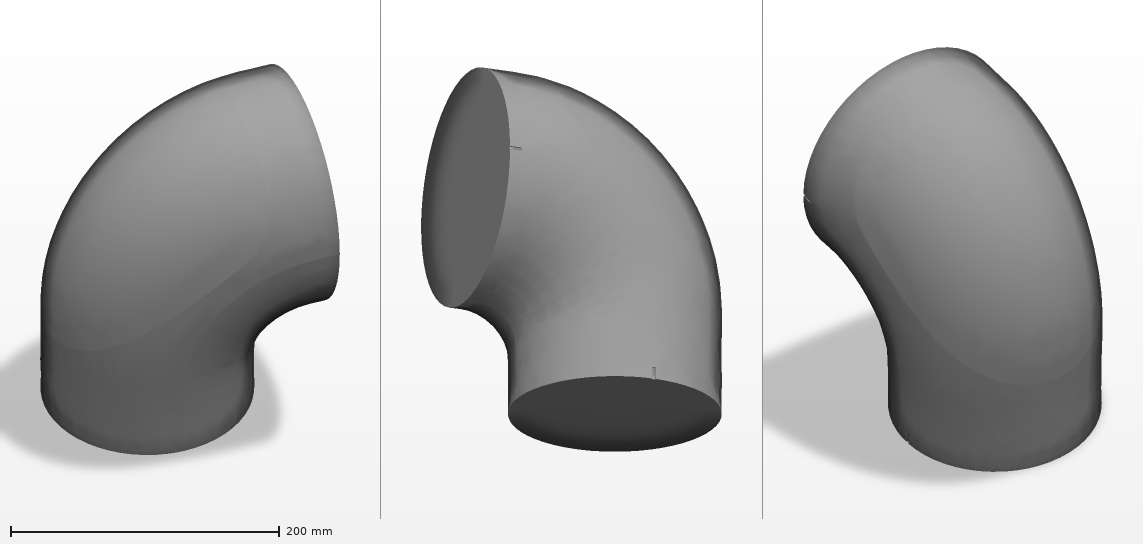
import cadquery as cq
import math

HEIGHT = 254.5
DEPTH = 199.5
UPPER_DIAMETER = 181.0
LOWER_DIAMETER = 159.5
OUTER_BEND_RADIUS = 173.0
THROAT_BEND_RADIUS = 30.0
BEND_STEPS = 8
LEG_STEPS = 4
TAPER_STEPS = BEND_STEPS + LEG_STEPS / 2
YAW = -0.3

CAP_UPPER_Y = 149.8
CAP_ARC_TOP_Z = 221.3
CAP_ARC_END = (129.5, 174.8)
CAP_LOWER_Z = 78.4
CAP_MARGIN = 25.5

NOTCH_WIDTH = 2.5
NOTCH_LENGTH = 9.5
NOTCH_DEPTH = 1.3

upper_axis_z = HEIGHT - UPPER_DIAMETER / 2
lower_axis_y = LOWER_DIAMETER / 2
outer_center = (OUTER_BEND_RADIUS, HEIGHT - OUTER_BEND_RADIUS)
throat_center = (
    LOWER_DIAMETER + THROAT_BEND_RADIUS,
    HEIGHT - UPPER_DIAMETER - THROAT_BEND_RADIUS,
)


def section(outer, throat, x_diameter):
    """Ellipse across the elbow, between an outer and a throat (y, z) point."""
    dy = outer[0] - throat[0]
    dz = outer[1] - throat[1]
    middle = cq.Vector(0, (outer[0] + throat[0]) / 2, (outer[1] + throat[1]) / 2)
    return cq.Wire.makeEllipse(
        x_diameter / 2,
        math.hypot(dy, dz) / 2,
        middle,
        cq.Vector(0, dz, -dy),
        cq.Vector(1, 0, 0),
    )


def arc_point(center, radius, angle):
    """Point on a bend arc, from its top (0) round to the -Y side (pi / 2)."""
    return (center[0] - radius * math.sin(angle), center[1] + radius * math.cos(angle))


def width_at(step):
    """Width along X, easing from the upper to the lower diameter."""
    blend = (1 - math.cos(math.pi * step / TAPER_STEPS)) / 2
    return UPPER_DIAMETER + blend * (LOWER_DIAMETER - UPPER_DIAMETER)


def bend_section(step):
    angle = step / BEND_STEPS * math.pi / 2
    return section(
        arc_point(outer_center, OUTER_BEND_RADIUS, angle),
        arc_point(throat_center, THROAT_BEND_RADIUS, angle),
        width_at(step),
    )


def lower_leg_section(step):
    """Section of the lower leg, from the bend (0) to the open end (LEG_STEPS)."""
    remaining = 1 - step / LEG_STEPS
    outer = (0, remaining * outer_center[1])
    throat = (LOWER_DIAMETER, remaining * throat_center[1])
    return section(outer, throat, width_at(min(BEND_STEPS + step, TAPER_STEPS)))


def make_blank():
    """Whole outer form as one smooth loft: upper leg, bend and lower leg."""
    upper_end = section((DEPTH, HEIGHT), (DEPTH, HEIGHT - UPPER_DIAMETER), UPPER_DIAMETER)
    bend = [bend_section(step) for step in range(BEND_STEPS + 1)]
    lower_leg = [lower_leg_section(step) for step in range(1, LEG_STEPS + 1)]
    return cq.Workplane(cq.Solid.makeLoft([upper_end, *bend, *lower_leg]))


def make_cap_region():
    """Space above and in front of the dividing surface, running through in X."""
    slope = (CAP_ARC_END[1] - CAP_LOWER_Z) / CAP_ARC_END[0]
    return (
        cq.Workplane("YZ")
        .moveTo(CAP_UPPER_Y, HEIGHT + CAP_MARGIN)
        .lineTo(CAP_UPPER_Y, CAP_ARC_TOP_Z)
        .tangentArcPoint(CAP_ARC_END, relative=False)
        .lineTo(-CAP_MARGIN, CAP_LOWER_Z - slope * CAP_MARGIN)
        .lineTo(-CAP_MARGIN, HEIGHT + CAP_MARGIN)
        .close()
        .extrude(UPPER_DIAMETER / 2 + CAP_MARGIN, both=True)
    )


def make_notches():
    """One shallow notch running in from each end of the elbow."""
    lower = cq.Workplane().box(2 * NOTCH_DEPTH, NOTCH_WIDTH, 2 * NOTCH_LENGTH)
    upper = cq.Workplane().box(2 * NOTCH_DEPTH, 2 * NOTCH_LENGTH, NOTCH_WIDTH)
    lower = lower.translate((-LOWER_DIAMETER / 2, lower_axis_y, 0))
    upper = upper.translate((-UPPER_DIAMETER / 2, DEPTH, upper_axis_z))
    return lower.union(upper)


def turn(body):
    """Turn a body about the vertical through the middle of the upper end."""
    return body.rotate((0, DEPTH, 0), (0, DEPTH, 1), YAW)


blank = make_blank()
cap_region = make_cap_region()
elbow = turn(blank.cut(cap_region).cut(make_notches()))
back_cap = turn(blank.intersect(cap_region))

result = cq.Compound.makeCompound([elbow.solids().val(), back_cap.solids().val()])